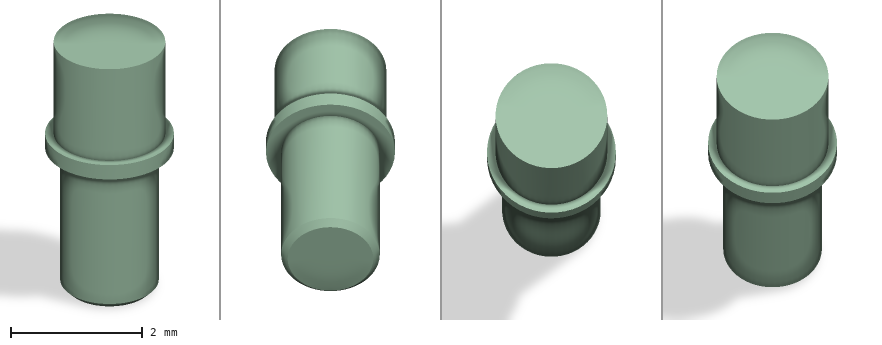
import cadquery as cq

TOTAL_LENGTH = 4.27
HEAD_LENGTH = 1.605
FLANGE_THICKNESS = 0.25
SHANK_LENGTH = TOTAL_LENGTH - HEAD_LENGTH - FLANGE_THICKNESS

HEAD_DIAMETER = 1.7
FLANGE_DIAMETER = 1.96
SHANK_DIAMETER = 1.5
TIP_CHAMFER = 0.1


def make_flanged_pin():
    """Shank with a chamfered lower tip and a flange on its upper end."""
    shank = cq.Workplane("XY").circle(SHANK_DIAMETER / 2).extrude(SHANK_LENGTH)
    shank = shank.faces("<Z").chamfer(TIP_CHAMFER)
    flange = (
        cq.Workplane("XY")
        .workplane(offset=SHANK_LENGTH)
        .circle(FLANGE_DIAMETER / 2)
        .extrude(FLANGE_THICKNESS)
    )
    return shank.union(flange)


def make_head():
    """Plain cylinder standing on the flat upper face of the flange."""
    return (
        cq.Workplane("XY")
        .workplane(offset=SHANK_LENGTH + FLANGE_THICKNESS)
        .circle(HEAD_DIAMETER / 2)
        .extrude(HEAD_LENGTH)
    )


flanged_pin = make_flanged_pin()
head = make_head()
result = cq.Compound.makeCompound([flanged_pin.val(), head.val()])